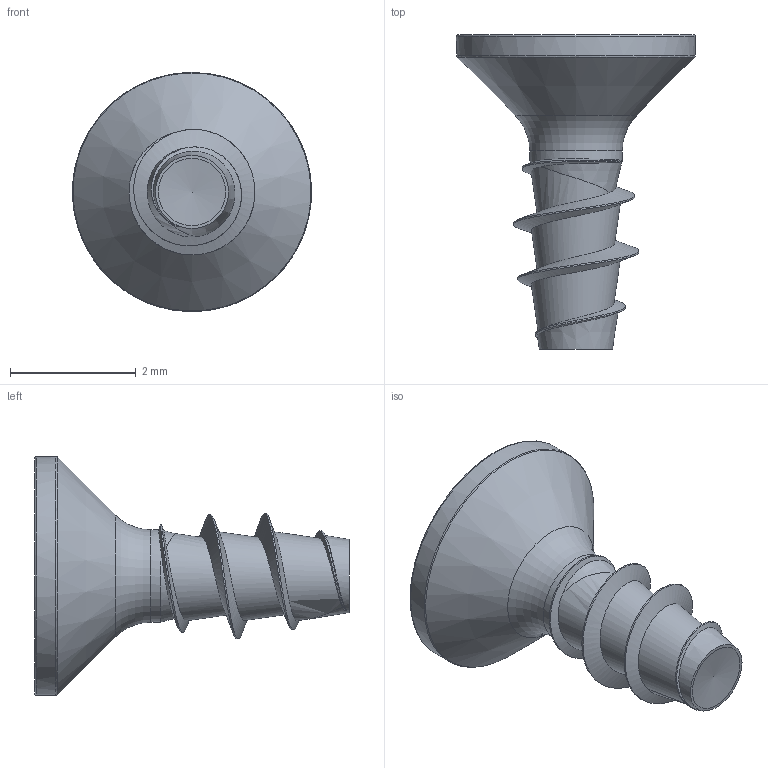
import math

import cadquery as cq

LENGTH = 5.0
TIP_Y = -LENGTH

HEAD_RADIUS = 1.9
RIM_HEIGHT = 0.35
RIM_EDGE_FILLET = 0.03
HEAD_CONE_ANGLE = math.radians(45)
NECK_FILLET = 0.8

SHANK_RADIUS = 0.735
SHANK_END_Y = -2.0
RUNOUT_SLOPE = 0.24
RUNOUT_END_RADIUS = 0.5

TIP_RADIUS = 0.58
TIP_SLOPE = 0.165
DISH_RADIUS = 0.535
DISH_DEPTH = 0.05

PITCH = 0.885
THREAD_START_Y = TIP_Y + 0.005
SECTIONS_PER_TURN = 16
CREST_RADIUS = 1.0
CREST_START_RADIUS = 0.575
CREST_RISE_PER_TURN = 0.28
CREST_DROP_START_TURN = 2.35
CREST_DROP_PER_TURN = 0.165
CREST_HALF_WIDTH = 0.012
FLANK_SLOPE = 0.33
ROOT_RADIUS = 0.5
EASE_START_TURN = 3.25
EASE_TURNS = 0.25
THREAD_END_TURN = 3.75
THREAD_END_RADIUS = 0.73

CORE_WIDE_RADIUS = 0.72
CORE_NARROW_RADIUS = 0.598
GROOVE_OUTER_RADIUS = 0.85
GROOVE_END_GAP = 0.02
GROOVE_START_TURN = -0.1
GROOVE_END_TURN = 3.3


def section_wire(turn, radius_height_points):
    """Closed wire of (radius, y) points in the half plane through Y at the given turn."""
    angle = 2 * math.pi * turn
    points = [
        cq.Vector(-radius * math.sin(angle), y, -radius * math.cos(angle))
        for radius, y in radius_height_points
    ]
    return cq.Wire.makePolygon(points, close=True)


def helical_solid(start_turn, end_turn, section):
    """Loft through the sections given by section(turn), spaced evenly along the helix."""
    count = math.ceil((end_turn - start_turn) * SECTIONS_PER_TURN)
    turns = [start_turn + (end_turn - start_turn) * i / count for i in range(count + 1)]
    wires = [section_wire(turn, section(turn)) for turn in turns]
    return cq.Workplane(cq.Solid.makeLoft(wires))


def helix_y(turn):
    return THREAD_START_Y + PITCH * turn


def thread_y(turn):
    """Height of the crest: a helix that levels off at the end of the shank."""
    past_ease = min(max(turn - EASE_START_TURN, 0), EASE_TURNS)
    ease_drop = PITCH * past_ease**2 / (2 * EASE_TURNS)
    return helix_y(min(turn, EASE_START_TURN + EASE_TURNS)) - ease_drop


def crest_radius(turn):
    """Crest grows from the tip, stays full, shrinks towards the head and then fades out."""
    rising = CREST_START_RADIUS + CREST_RISE_PER_TURN * turn
    fade_start = EASE_START_TURN + EASE_TURNS
    dropped_turns = max(min(turn, fade_start) - CREST_DROP_START_TURN, 0)
    falling = CREST_RADIUS - CREST_DROP_PER_TURN * dropped_turns
    if turn > fade_start:
        fade = (turn - fade_start) / (THREAD_END_TURN - fade_start)
        falling += (THREAD_END_RADIUS - falling) * fade
    return min(rising, CREST_RADIUS, falling)


def thread_section(turn):
    y = thread_y(turn)
    crest = crest_radius(turn)
    root_half_width = CREST_HALF_WIDTH + FLANK_SLOPE * (crest - ROOT_RADIUS)
    return [
        (ROOT_RADIUS, y - root_half_width),
        (crest, y - CREST_HALF_WIDTH),
        (crest, y + CREST_HALF_WIDTH),
        (ROOT_RADIUS, y + root_half_width),
    ]


def groove_section(turn):
    """Groove across the gap between neighbouring turns of the thread."""
    low_y = helix_y(turn) + GROOVE_END_GAP
    high_y = helix_y(turn + 1) - GROOVE_END_GAP
    return [
        (CORE_NARROW_RADIUS, low_y),
        (GROOVE_OUTER_RADIUS, low_y),
        (GROOVE_OUTER_RADIUS, high_y),
        (CORE_WIDE_RADIUS, high_y),
    ]


def revolve_about_y(profile):
    return profile.close().revolve(360, (0, 0, 0), (0, 1, 0))


def make_blank():
    """Head, neck fillet, shank and tapered tip, without the thread."""
    neck_start_radius = SHANK_RADIUS + NECK_FILLET * (1 - math.cos(HEAD_CONE_ANGLE))
    neck_start_y = -RIM_HEIGHT - (HEAD_RADIUS - neck_start_radius) / math.tan(HEAD_CONE_ANGLE)
    neck_end_y = neck_start_y - NECK_FILLET * math.sin(HEAD_CONE_ANGLE)
    half_angle = HEAD_CONE_ANGLE / 2
    neck_middle = (
        SHANK_RADIUS + NECK_FILLET * (1 - math.cos(half_angle)),
        neck_end_y + NECK_FILLET * math.sin(half_angle),
    )
    taper_start_y = TIP_Y + (SHANK_RADIUS - TIP_RADIUS) / TIP_SLOPE
    profile = (
        cq.Workplane("ZY")
        .moveTo(0, 0)
        .lineTo(HEAD_RADIUS, 0)
        .lineTo(HEAD_RADIUS, -RIM_HEIGHT)
        .lineTo(neck_start_radius, neck_start_y)
        .threePointArc(neck_middle, (SHANK_RADIUS, neck_end_y))
        .lineTo(SHANK_RADIUS, taper_start_y)
        .lineTo(TIP_RADIUS, TIP_Y)
        .lineTo(0, TIP_Y)
    )
    blank = revolve_about_y(profile)
    rim_edges = cq.selectors.RadiusNthSelector(-1)
    return blank.edges("%CIRCLE").edges(rim_edges).fillet(RIM_EDGE_FILLET)


def make_runout():
    """Shank end and the cone below it, which the groove leaves standing."""
    cone_end_y = SHANK_END_Y - (SHANK_RADIUS - RUNOUT_END_RADIUS) / RUNOUT_SLOPE
    groove_top_y = helix_y(GROOVE_END_TURN + 1)
    profile = (
        cq.Workplane("ZY")
        .moveTo(0, groove_top_y)
        .lineTo(GROOVE_OUTER_RADIUS + GROOVE_END_GAP, groove_top_y)
        .lineTo(GROOVE_OUTER_RADIUS + GROOVE_END_GAP, SHANK_END_Y)
        .lineTo(SHANK_RADIUS, SHANK_END_Y)
        .lineTo(RUNOUT_END_RADIUS, cone_end_y)
        .lineTo(0, cone_end_y)
    )
    return revolve_about_y(profile)


def make_beyond_tip():
    """Space past the tip plane, where the start of the thread is cut flush."""
    return cq.Workplane("XZ", origin=(0, TIP_Y, 0)).circle(CREST_RADIUS).extrude(PITCH)


def make_tip_dish():
    """Shallow cone that hollows the tip face."""
    profile = (
        cq.Workplane("ZY")
        .moveTo(0, TIP_Y + DISH_DEPTH)
        .lineTo(DISH_RADIUS, TIP_Y)
        .lineTo(0, TIP_Y)
    )
    return revolve_about_y(profile)


groove = helical_solid(GROOVE_START_TURN, GROOVE_END_TURN, groove_section).cut(make_runout())
thread = helical_solid(0, THREAD_END_TURN, thread_section).cut(make_beyond_tip())
result = make_blank().cut(groove).union(thread).cut(make_tip_dish())